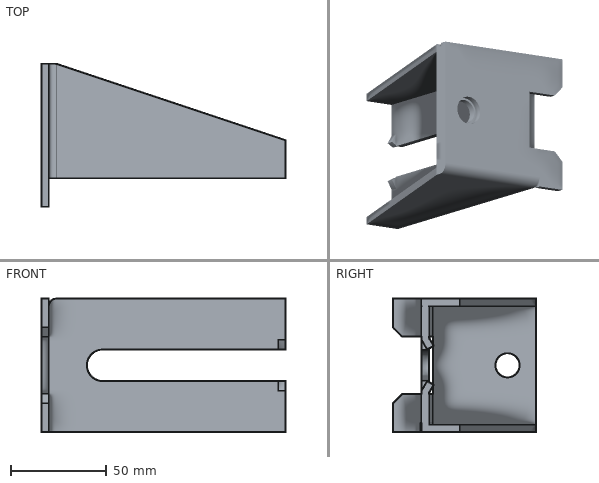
import cadquery as cq
import math

length = 128.0
width = 75.0
height = 70.0
thickness = 4.0
mid_z = height / 2

arm_front = 15.0
tip_depth = 20.0
taper_start = 2 * thickness
bottom_bend_radius = 4.9
top_edge_radius = thickness

slot_half = 8.2
slot_start = 24.0
tab_length = 4.0
tab_root = 13.5
tab_angle = math.radians(30)

notch_half = 15.0
notch_depth = 21.0
lug_chamfer = 4.9
lug_width = 14.5
hole_back_offset = 15.0
plate_hole_diameter = 14.6
flange_hole_diameter = 12.5


def box(x0, x1, y0, y1, z0, z1):
    """Box between two opposite corners."""
    return cq.Workplane("XY").box(x1 - x0, y1 - y0, z1 - z0, centered=False).translate((x0, y0, z0))


def make_shell():
    """Bent channel: back plate, bottom wall, top wall and front wall, with a tapered back edge."""
    shell = box(0, length, arm_front, width, 0, height)
    shell = shell.edges("|Y and <X and <Z").fillet(bottom_bend_radius)
    inner_height = height - 2 * thickness
    cavity = box(thickness, length, arm_front + thickness, width, thickness, thickness + inner_height)
    cavity = cavity.edges("|Y and <X and <Z").fillet(bottom_bend_radius - thickness)
    taper = (
        cq.Workplane("XY")
        .moveTo(taper_start, width)
        .lineTo(length, arm_front + tip_depth)
        .lineTo(length, width)
        .close()
        .extrude(height)
    )
    return shell.cut(cavity).cut(taper)


def make_top_groove():
    """Space between the plate and the rounded edge of the top wall."""
    x_end = thickness + top_edge_radius
    z_start = height - top_edge_radius
    diagonal = top_edge_radius * math.sqrt(0.5)
    return (
        cq.Workplane("XZ", origin=(0, width, 0))
        .moveTo(thickness, z_start)
        .threePointArc((x_end - diagonal, z_start + diagonal), (x_end, height))
        .lineTo(thickness, height)
        .close()
        .extrude(width - arm_front)
    )


def make_lugs():
    """Front part of the plate, before the notch is cut."""
    lugs = box(0, thickness, 0, lug_width, 0, height)
    bridge = box(0, thickness, lug_width, arm_front, bottom_bend_radius, height)
    return lugs.union(bridge)


def make_notch():
    """Central notch in the plate, flared by chamfers at its mouth."""
    flare = notch_half + lug_chamfer
    return (
        cq.Workplane("YZ")
        .polyline([
            (0, mid_z - flare),
            (lug_chamfer, mid_z - notch_half),
            (notch_depth, mid_z - notch_half),
            (notch_depth, mid_z + notch_half),
            (lug_chamfer, mid_z + notch_half),
            (0, mid_z + flare),
        ])
        .close()
        .extrude(thickness)
    )


def make_flange():
    """Inner flange that folds down from the top wall and lies against the back of the plate."""
    return box(thickness, 2 * thickness, notch_depth, width, thickness, height - thickness)


def make_hole():
    """Stepped hole: wide through the plate, narrower through the flange behind it."""
    plane = cq.Workplane("YZ").center(width - hole_back_offset, mid_z)
    flange_hole = plane.circle(flange_hole_diameter / 2).extrude(2 * thickness)
    plate_hole = plane.circle(plate_hole_diameter / 2).extrude(thickness)
    return flange_hole.union(plate_hole)


def make_slot():
    """Round-ended slot, widened at the tip to make room for the tabs."""
    y_end = arm_front + thickness
    center_x = slot_start + slot_half
    round_end = (
        cq.Workplane("XZ", origin=(center_x, y_end, mid_z))
        .circle(slot_half)
        .extrude(thickness)
    )
    straight = box(center_x, length, arm_front, y_end, mid_z - slot_half, mid_z + slot_half)
    tab_gap = box(length - tab_length, length, arm_front, y_end, mid_z - tab_root, mid_z + tab_root)
    return round_end.union(straight).union(tab_gap)


def make_tab(side):
    """Tab bent into the arm; side is +1 above the slot and -1 below it."""
    reach = (tab_root - slot_half) / math.cos(tab_angle)
    tip_y = arm_front + reach * math.sin(tab_angle)
    end_y = tip_y + thickness * math.cos(tab_angle)
    end_offset = slot_half + thickness * math.sin(tab_angle)
    wall_inside = arm_front + thickness
    inner_root = end_offset + (end_y - wall_inside) / math.tan(tab_angle)
    return (
        cq.Workplane("YZ", origin=(length - tab_length, 0, mid_z))
        .polyline([
            (arm_front, side * tab_root),
            (tip_y, side * slot_half),
            (end_y, side * end_offset),
            (wall_inside, side * inner_root),
            (wall_inside, side * tab_root),
        ])
        .close()
        .extrude(tab_length)
    )


result = make_shell().cut(make_top_groove()).union(make_lugs()).union(make_flange())
result = result.cut(make_notch()).cut(make_hole()).cut(make_slot())
for side in (1, -1):
    result = result.union(make_tab(side))